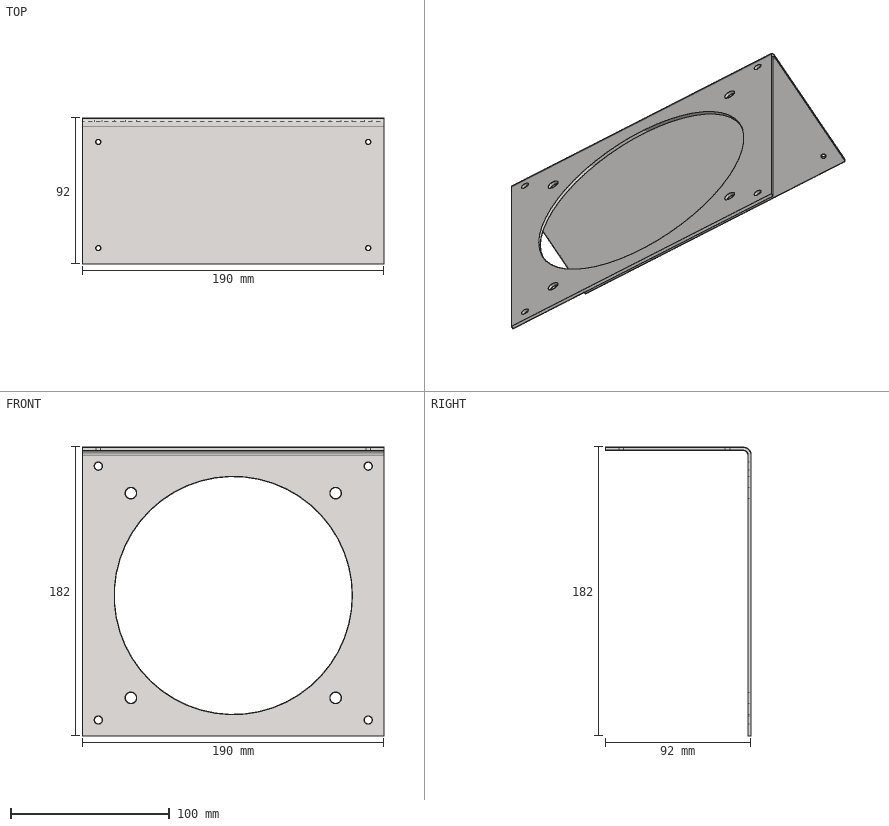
import cadquery as cq

width = 190.0
depth = 92.0
height = 182.0
thickness = 2.0
inner_bend_radius = 3.0
outer_bend_radius = inner_bend_radius + thickness

opening_diameter = 150.0
opening_height = 88.5
mount_hole_diameter = 7.0
mount_spacing = 129.0

corner_hole_diameter = 5.0
corner_spacing_x = 170.0
corner_spacing_z = 160.0
lower_corner_height = 10.0

flange_hole_diameter = 3.0
flange_spacing_y = 66.9
flange_front_margin = 10.0


def bent_sheet():
    """L-shaped sheet, centred on X, with its back face at Y = 0 and its lower edge at Z = 0."""
    outer = (
        cq.Workplane("XY")
        .box(width, depth, height, centered=(True, False, False))
        .translate((0, -depth, 0))
        .edges(">Y and >Z")
        .fillet(outer_bend_radius)
    )
    inner = (
        cq.Workplane("XY")
        .box(width, depth - thickness, height - thickness, centered=(True, False, False))
        .translate((0, -depth, 0))
        .edges(">Y and >Z")
        .fillet(inner_bend_radius)
    )
    return outer.cut(inner)


def plate_holes(diameter, spacing_x, spacing_z, centre_height):
    """Four cutters through the vertical plate on a rectangular pattern."""
    return (
        cq.Workplane("XZ")
        .center(0, centre_height)
        .rect(spacing_x, spacing_z, forConstruction=True)
        .vertices()
        .circle(diameter / 2)
        .extrude(thickness)
    )


def plate_opening():
    """Cutter for the large round opening in the vertical plate."""
    return (
        cq.Workplane("XZ")
        .center(0, opening_height)
        .circle(opening_diameter / 2)
        .extrude(thickness)
    )


def flange_holes():
    """Four cutters through the horizontal flange."""
    centre_y = -depth + flange_front_margin + flange_spacing_y / 2
    return (
        cq.Workplane("XY", origin=(0, centre_y, height))
        .rect(corner_spacing_x, flange_spacing_y, forConstruction=True)
        .vertices()
        .circle(flange_hole_diameter / 2)
        .extrude(-thickness)
    )


corner_centre_height = lower_corner_height + corner_spacing_z / 2

result = (
    bent_sheet()
    .cut(plate_opening())
    .cut(plate_holes(mount_hole_diameter, mount_spacing, mount_spacing, opening_height))
    .cut(plate_holes(corner_hole_diameter, corner_spacing_x, corner_spacing_z, corner_centre_height))
    .cut(flange_holes())
)